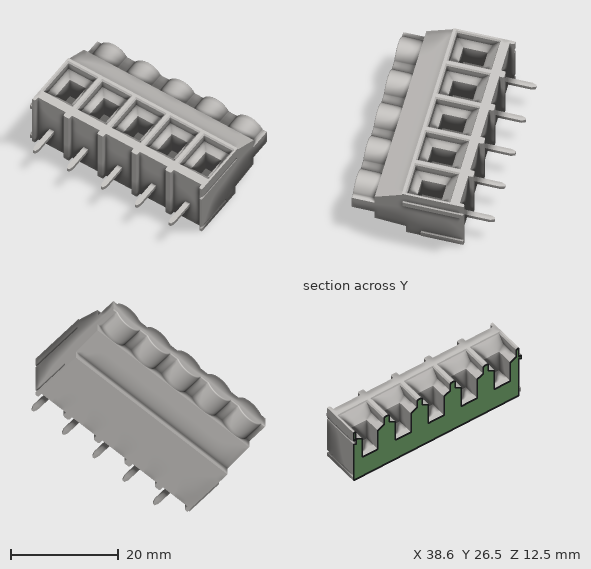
import cadquery as cq
import math


poles = 5
overall_length = 38.65
tab_height = 0.55
body_length = overall_length - tab_height
pitch = body_length / poles
pole_centers = [(i + 0.5) * pitch for i in range(poles)]
body_height = 12.5

ramp_start_y = 11.85
ramp_start_z = body_height - 0.35
shoulder_y = 17.1
shoulder_top_z = 9.5
shoulder_bottom_z = 2.47
step_y = 11.1
step_z = 1.97

boss_end_y = 21.53
boss_radius = 3.25
boss_z = 6.0
flange_half_height = 1.5
flange_root_fillet = 0.27
boss_end_fillet = 0.25

rib_depth = 0.93
rib_half_width = 0.7
rib_fillet = 0.3

mouth_half_width = 3.45
mouth_front_y = 2.7
mouth_back_y = 11.3
mouth_chamfer = 0.27
mouth_front_chamfer = 0.1
shaft_half_width = mouth_half_width - mouth_chamfer
shaft_front_y = mouth_front_y + mouth_front_chamfer
shaft_back_y = mouth_back_y - mouth_chamfer
shaft_top_z = body_height - mouth_chamfer
funnel_top_z = 10.55
funnel_front_y = 4.2
pocket_top_z = 9.85
pocket_half_width = 1.78
pocket_front_y = 4.8
pocket_back_y = 9.45

pin_width = 1.05
pin_thickness = 0.77
pin_z = 4.65
pin_length = 5.0
pin_tip_width = 0.45
pin_taper = 0.77

pocket_floor_z = pin_z + pin_thickness / 2

tab_outer_height = 1.15
tab_neck_height = 0.65
tabs = [(9.85, 11.65), (1.2, 8.1)]


def box_between(x0, x1, y0, y1, z0, z1):
    return cq.Workplane("XY").box(x1 - x0, y1 - y0, z1 - z0, centered=False).translate((x0, y0, z0))


def tapered_block(lower, lower_z, upper, upper_z):
    """Solid between two level rectangles, each (center x, half width, front y, back y)."""
    block = cq.Workplane("XY").workplane(offset=lower_z)
    for index, (x, half_width, front, back) in enumerate((lower, upper)):
        if index:
            block = block.workplane(offset=upper_z - lower_z)
        outline = [
            (x - half_width, front),
            (x + half_width, front),
            (x + half_width, back),
            (x - half_width, back),
        ]
        block = block.polyline(outline).close()
    return block.loft(ruled=True)


def make_housing():
    profile = [
        (0, 0),
        (step_y, 0),
        (step_y, step_z),
        (shoulder_y, shoulder_bottom_z),
        (shoulder_y, shoulder_top_z),
        (ramp_start_y, ramp_start_z),
        (ramp_start_y, body_height),
        (0, body_height),
    ]
    return cq.Workplane("YZ").polyline(profile).close().extrude(body_length)


def make_bosses():
    """Row of round bosses on a flange, with rounded roots and outer end edges."""
    length = boss_end_y - shoulder_y
    plane = cq.Workplane("XZ", origin=(0, boss_end_y, boss_z))
    flange = plane.rect(pitch, 2 * flange_half_height).extrude(length)
    unit = flange.union(plane.circle(boss_radius).extrude(length))
    root_zone = cq.selectors.BoxSelector(
        (-boss_radius, shoulder_y, boss_z - boss_radius),
        (boss_radius, boss_end_y, boss_z + boss_radius),
    )
    unit = unit.edges("|Y").edges(root_zone).fillet(flange_root_fillet)
    row = unit.translate((pole_centers[0], 0, 0))
    for x in pole_centers[1:]:
        row = row.union(unit.translate((x, 0, 0)))
    return row.clean().faces(">Y").edges("not |Z").fillet(boss_end_fillet)


def make_recess(x):
    """Shallow recess of one pole, flared so that the ribs beside it get rounded corners."""
    half_width = pitch / 2 - rib_half_width
    outer_half_width = half_width + rib_fillet
    arc_offset = rib_fillet * math.cos(math.pi / 4)
    middle_x = outer_half_width - arc_offset
    middle_y = rib_fillet - arc_offset
    return (
        cq.Workplane("XY")
        .moveTo(x - outer_half_width, 0)
        .threePointArc((x - middle_x, middle_y), (x - half_width, rib_fillet))
        .lineTo(x - half_width, rib_depth)
        .lineTo(x + half_width, rib_depth)
        .lineTo(x + half_width, rib_fillet)
        .threePointArc((x + middle_x, middle_y), (x + outer_half_width, 0))
        .close()
        .extrude(body_height)
    )


def make_wire_entry(x):
    """Chamfered mouth, shaft with a sloped front wall, funnel and rectangular pocket."""
    mouth = tapered_block(
        (x, shaft_half_width, shaft_front_y, shaft_back_y), shaft_top_z,
        (x, mouth_half_width, mouth_front_y, mouth_back_y), body_height,
    )
    shaft = tapered_block(
        (x, shaft_half_width, funnel_front_y, shaft_back_y), funnel_top_z,
        (x, shaft_half_width, shaft_front_y, shaft_back_y), shaft_top_z,
    )
    funnel = tapered_block(
        (x, pocket_half_width, pocket_front_y, pocket_back_y), pocket_top_z,
        (x, shaft_half_width, funnel_front_y, shaft_back_y), funnel_top_z,
    )
    pocket = box_between(
        x - pocket_half_width, x + pocket_half_width,
        pocket_front_y, pocket_back_y,
        pocket_floor_z, pocket_top_z,
    )
    return mouth.union(shaft).union(funnel).union(pocket)


def make_pin(x):
    """Flat pin with a tip tapered across its width."""
    outline = [
        (x - pin_width / 2, rib_depth),
        (x - pin_width / 2, pin_taper - pin_length),
        (x - pin_tip_width / 2, -pin_length),
        (x + pin_tip_width / 2, -pin_length),
        (x + pin_width / 2, pin_taper - pin_length),
        (x + pin_width / 2, rib_depth),
    ]
    plane = cq.Workplane("XY").workplane(offset=pin_z - pin_thickness / 2)
    return plane.polyline(outline).close().extrude(pin_thickness)


def make_dovetail(neck_x, z, length):
    """Dovetail bar along Y, wide on its -X side and narrow at neck_x."""
    outline = [
        (neck_x, z - tab_neck_height / 2),
        (neck_x, z + tab_neck_height / 2),
        (neck_x - tab_height, z + tab_outer_height / 2),
        (neck_x - tab_height, z - tab_outer_height / 2),
    ]
    return cq.Workplane("XZ").polyline(outline).close().extrude(-length)


result = make_housing().union(make_bosses())

for center in pole_centers:
    result = result.cut(make_recess(center)).cut(make_wire_entry(center)).union(make_pin(center))

for height, length in tabs:
    result = result.union(make_dovetail(0, height, length))
    result = result.cut(make_dovetail(body_length, height, length))